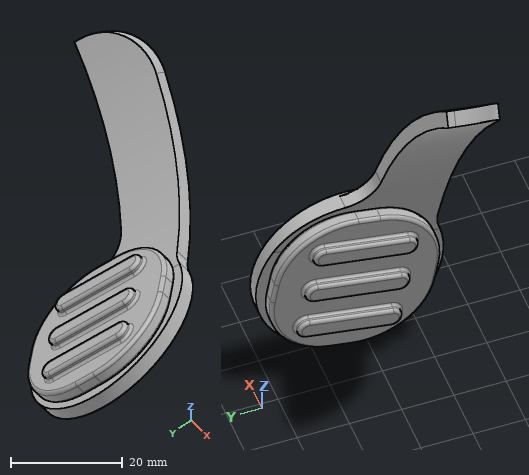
import cadquery as cq
import math

tilt = 10.0

disc_diameter = 36.0
disc_radius = disc_diameter / 2
thickness = 3.0
arm_left = 1.1
arm_right = 15.05
neck_radius = 6.85
bend_radius = 69.8
bend_start = 7.75
bend_angle = 47.4
tip_corner_radius = 12.55

pad_size = 31.9
pad_corner_radius = 13.8
pad_front = 6.0
pad_edge_fillet = 0.7

ridge_count = 3
ridge_pitch = 9.0
ridge_straight = 16.3
ridge_width = 3.95
ridge_height = 1.6
ridge_top_fillet = 0.7
ridge_base_fillet = 0.5

clearance = 7.6


def neck(side_x, outward):
    """Points of a blend between an arm side and the disc: arm end, middle, disc end."""
    center_x = side_x + outward * neck_radius
    center_distance = disc_radius + neck_radius
    center_y = math.sqrt(center_distance**2 - center_x**2)
    disc_end = (center_x * disc_radius / center_distance, center_y * disc_radius / center_distance)
    arm_end = (side_x, center_y)
    toward_x = (arm_end[0] + disc_end[0]) / 2 - center_x
    toward_y = (arm_end[1] + disc_end[1]) / 2 - center_y
    stretch = neck_radius / math.hypot(toward_x, toward_y)
    middle = (center_x + toward_x * stretch, center_y + toward_y * stretch)
    return arm_end, middle, disc_end


def make_disc():
    return cq.Workplane("XY").circle(disc_radius).extrude(thickness)


def make_bent_sheet():
    """Curved sheet that leaves the disc tangentially, with a square-cut end."""
    front_radius = bend_radius - thickness

    def on_bend(radius, angle):
        turn = math.radians(angle)
        return bend_start + radius * math.sin(turn), bend_radius - radius * math.cos(turn)

    half_width = disc_radius + clearance
    return (
        cq.Workplane("YZ", origin=(-half_width, 0, 0))
        .moveTo(*on_bend(bend_radius, 0))
        .threePointArc(on_bend(bend_radius, bend_angle / 2), on_bend(bend_radius, bend_angle))
        .lineTo(*on_bend(front_radius, bend_angle))
        .threePointArc(on_bend(front_radius, bend_angle / 2), on_bend(front_radius, 0))
        .close()
        .extrude(2 * half_width)
    )


def make_arm_outline():
    """Prism of the arm, its neck blends and the disc outline."""
    left_arm, left_middle, left_disc = neck(arm_left, -1)
    right_arm, right_middle, right_disc = neck(arm_right, 1)
    arm_top = bend_start + bend_radius
    return (
        cq.Workplane("XY")
        .moveTo(arm_left, arm_top)
        .lineTo(*left_arm)
        .threePointArc(left_middle, left_disc)
        .threePointArc((0, -disc_radius), right_disc)
        .threePointArc(right_middle, right_arm)
        .lineTo(arm_right, arm_top)
        .close()
        .extrude(bend_radius)
    )


def make_tip_corner_cutter():
    """Waste outside the large rounded corner, square to the arm at its tip."""
    turn = math.radians(bend_angle)
    tip_plane = cq.Plane(
        origin=(
            arm_right,
            bend_start + bend_radius * math.sin(turn),
            bend_radius * (1 - math.cos(turn)),
        ),
        xDir=(1, 0, 0),
        normal=(0, -math.sin(turn), math.cos(turn)),
    )
    r = tip_corner_radius
    diagonal = r * (1 - math.sqrt(0.5))
    return (
        cq.Workplane(tip_plane)
        .moveTo(-r, 0)
        .threePointArc((-diagonal, -diagonal), (0, -r))
        .lineTo(clearance, -r)
        .lineTo(clearance, clearance)
        .lineTo(-r, clearance)
        .close()
        .extrude(clearance, both=True)
    )


def make_pad():
    """Pad resting on the disc, with both its front and back rims rounded."""
    return (
        cq.Workplane("XY", origin=(0, 0, thickness))
        .rect(pad_size, pad_size)
        .extrude(pad_front - thickness)
        .edges("|Z")
        .fillet(pad_corner_radius)
        .faces("<Z or >Z")
        .edges()
        .fillet(pad_edge_fillet)
    )


def add_ridges(pad):
    """Rows of rounded ridges, blended into the pad face."""
    rows = [(0, (i - (ridge_count - 1) / 2) * ridge_pitch) for i in range(ridge_count)]
    ridges = (
        cq.Workplane("XY", origin=(0, 0, pad_front))
        .pushPoints(rows)
        .slot2D(ridge_straight + ridge_width, ridge_width)
        .extrude(ridge_height)
        .faces(">Z")
        .edges()
        .fillet(ridge_top_fillet)
    )
    half_pad = pad_size / 2 - 2 * pad_edge_fillet
    base_edges = cq.selectors.BoxSelector(
        (-half_pad, -half_pad, pad_front - ridge_base_fillet / 2),
        (half_pad, half_pad, pad_front + ridge_base_fillet / 2),
    )
    return pad.union(ridges).edges(base_edges).fillet(ridge_base_fillet)


arm = make_bent_sheet().intersect(make_arm_outline()).cut(make_tip_corner_cutter())
body = make_disc().union(arm).union(add_ridges(make_pad()))

lean = math.radians(tilt)
part_plane = cq.Plane(
    origin=(0, 0, 0),
    xDir=(0, -math.cos(lean), -math.sin(lean)),
    normal=(-1, 0, 0),
)
result = cq.Workplane("XY").newObject([body.val().moved(cq.Location(part_plane))])